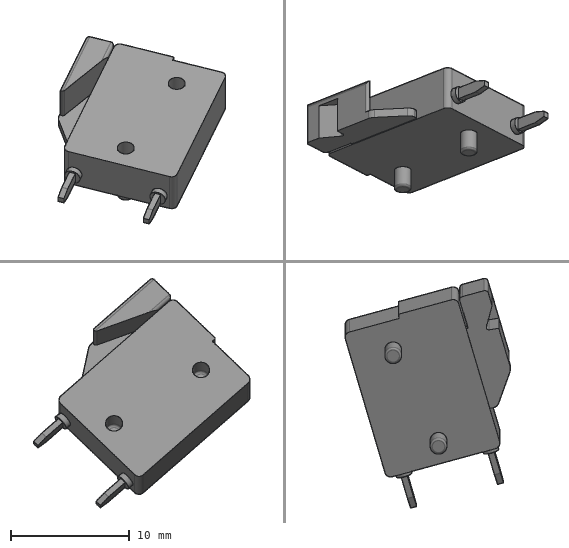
import cadquery as cq
import math


HOUSING_WIDTH = 10.05
HOUSING_LENGTH = 13.6
HOUSING_HEIGHT = 3.8
HOUSING_CORNER_RADIUS = 0.5
REAR_STEP_X = 5.18
REAR_STEP_DEPTH = 0.37
REAR_STEP_RADIUS = 0.1

PEG_CENTRES = [(4.93, 2.0), (6.43, 10.7)]
PEG_DIAMETER = 1.42
PEG_LENGTH = 1.81
PEG_TIP_RADIUS = 0.18
HOLE_DIAMETER = 1.42
HOLE_DEPTH = 2.0
HOLE_FLOOR_RADIUS = 0.22

PIN_PITCH = 7.62
FIRST_PIN_X = 1.03
PIN_X_POSITIONS = [FIRST_PIN_X, FIRST_PIN_X + PIN_PITCH]
PIN_Z = 1.4
PIN_REACH = 3.4
PIN_THICKNESS = 0.53
PIN_HEIGHT = 1.02
PIN_TAPER_LENGTH = 0.97
PIN_TIP_HEIGHT = 0.5
COLLAR_DIAMETER = 1.36
COLLAR_LENGTH = 0.5

LEVER_LEFT = -2.65
LEVER_BOTTOM = 0.07
PLATE_TOP = 0.8
PLATE_JOINT_REAR_Y = 10.8
PLATE_FRONT_Y = 3.48
PLATE_SLOPE_START_Y = 6.32
PLATE_SLOPE_ANGLE = 35.0
PLATE_SHOULDER_RADIUS = 0.92
PLATE_NOSE_RADIUS = 0.7
PLATE_OVERLAP = 0.43

BLOCK_RIGHT = -0.15
BLOCK_TOP = 3.75
BLOCK_EDGE_RADIUS = 0.3
BLOCK_FACE_ANGLE = 22.2
BLOCK_FACE_REAR_Y = 11.94
BLOCK_TIP_Y = 6.7
BLOCK_TIP_RADIUS = 0.21

NOTCH_REAR_Y = 12.15
NOTCH_FRONT_Y = 10.08
NOTCH_RAMP_ANGLE = 30.0
NOTCH_WALL_DRAFT = 0.13
NOTCH_TOP = 3.12
NOTCH_TOP_DRAFT = 0.05
NOTCH_ROOT_RADIUS = 0.2


def tan_deg(angle):
    return math.tan(math.radians(angle))


def box(x_min, x_max, y_min, y_max, z_min, z_max):
    size = (x_max - x_min, y_max - y_min, z_max - z_min)
    return cq.Workplane("XY").box(*size, centered=False).translate((x_min, y_min, z_min))


def upright_edge(x, y, z):
    """Selector for the vertical edge whose middle lies nearest to the given point."""
    return cq.selectors.NearestToPointSelector((x, y, z))


def make_housing():
    step_y = HOUSING_LENGTH - REAR_STEP_DEPTH
    mid_z = HOUSING_HEIGHT / 2
    housing = box(0, HOUSING_WIDTH, 0, HOUSING_LENGTH, 0, HOUSING_HEIGHT)
    housing = housing.cut(
        box(REAR_STEP_X, HOUSING_WIDTH, step_y, HOUSING_LENGTH, 0, HOUSING_HEIGHT)
    )
    corners = [(0, 0), (HOUSING_WIDTH, 0), (HOUSING_WIDTH, step_y), (0, HOUSING_LENGTH)]
    for x, y in corners:
        housing = housing.edges("|Z").edges(upright_edge(x, y, mid_z)).fillet(HOUSING_CORNER_RADIUS)
    step_corner = upright_edge(REAR_STEP_X, HOUSING_LENGTH, mid_z)
    return housing.edges("|Z").edges(step_corner).fillet(REAR_STEP_RADIUS)


def make_pegs():
    pegs = cq.Workplane("XY").pushPoints(PEG_CENTRES).circle(PEG_DIAMETER / 2).extrude(-PEG_LENGTH)
    return pegs.faces("<Z").edges().fillet(PEG_TIP_RADIUS)


def make_holes():
    holes = cq.Workplane("XY", origin=(0, 0, HOUSING_HEIGHT)).pushPoints(PEG_CENTRES)
    holes = holes.circle(HOLE_DIAMETER / 2).extrude(-HOLE_DEPTH)
    return holes.faces("<Z").edges().fillet(HOLE_FLOOR_RADIUS)


def make_pin(x):
    collar = cq.Workplane("XZ", origin=(x, 0, PIN_Z)).circle(COLLAR_DIAMETER / 2).extrude(COLLAR_LENGTH)
    taper_y = PIN_TAPER_LENGTH - PIN_REACH
    blade = (
        cq.Workplane("YZ", origin=(x, 0, PIN_Z))
        .moveTo(0, -PIN_HEIGHT / 2)
        .lineTo(taper_y, -PIN_HEIGHT / 2)
        .lineTo(-PIN_REACH, -PIN_TIP_HEIGHT / 2)
        .lineTo(-PIN_REACH, PIN_TIP_HEIGHT / 2)
        .lineTo(taper_y, PIN_HEIGHT / 2)
        .lineTo(0, PIN_HEIGHT / 2)
        .close()
        .extrude(PIN_THICKNESS / 2, both=True)
    )
    return collar.union(blade)


def make_lever_plate():
    nose_x = LEVER_LEFT + (PLATE_SLOPE_START_Y - PLATE_FRONT_Y) * tan_deg(PLATE_SLOPE_ANGLE)
    mid_z = (LEVER_BOTTOM + PLATE_TOP) / 2
    plate = (
        cq.Workplane("XY", origin=(0, 0, LEVER_BOTTOM))
        .moveTo(LEVER_LEFT, HOUSING_LENGTH)
        .lineTo(LEVER_LEFT, PLATE_SLOPE_START_Y)
        .lineTo(nose_x, PLATE_FRONT_Y)
        .lineTo(PLATE_OVERLAP, PLATE_FRONT_Y)
        .lineTo(PLATE_OVERLAP, PLATE_JOINT_REAR_Y)
        .lineTo(BLOCK_RIGHT, PLATE_JOINT_REAR_Y)
        .lineTo(BLOCK_RIGHT, HOUSING_LENGTH)
        .close()
        .extrude(PLATE_TOP - LEVER_BOTTOM)
    )
    rounded_corners = [
        (LEVER_LEFT, PLATE_SLOPE_START_Y, PLATE_SHOULDER_RADIUS),
        (nose_x, PLATE_FRONT_Y, PLATE_NOSE_RADIUS),
        (PLATE_OVERLAP, PLATE_FRONT_Y, PLATE_NOSE_RADIUS),
        (LEVER_LEFT, HOUSING_LENGTH, BLOCK_EDGE_RADIUS),
        (BLOCK_RIGHT, HOUSING_LENGTH, BLOCK_EDGE_RADIUS),
    ]
    for x, y, radius in rounded_corners:
        plate = plate.edges("|Z").edges(upright_edge(x, y, mid_z)).fillet(radius)
    return plate


def make_lever_block():
    """Plan outline and end profile, both with rounded corners, intersected."""
    height = BLOCK_TOP - LEVER_BOTTOM
    mid_z = LEVER_BOTTOM + height / 2
    tip_x = BLOCK_RIGHT - (BLOCK_FACE_REAR_Y - BLOCK_TIP_Y) * tan_deg(BLOCK_FACE_ANGLE)
    plan = (
        cq.Workplane("XY", origin=(0, 0, LEVER_BOTTOM))
        .moveTo(LEVER_LEFT, HOUSING_LENGTH)
        .lineTo(LEVER_LEFT, BLOCK_TIP_Y)
        .lineTo(tip_x, BLOCK_TIP_Y)
        .lineTo(BLOCK_RIGHT, BLOCK_FACE_REAR_Y)
        .lineTo(BLOCK_RIGHT, HOUSING_LENGTH)
        .close()
        .extrude(height)
    )
    rounded_corners = [
        (LEVER_LEFT, BLOCK_TIP_Y, BLOCK_TIP_RADIUS),
        (tip_x, BLOCK_TIP_Y, BLOCK_TIP_RADIUS),
        (LEVER_LEFT, HOUSING_LENGTH, BLOCK_EDGE_RADIUS),
        (BLOCK_RIGHT, HOUSING_LENGTH, BLOCK_EDGE_RADIUS),
    ]
    for x, y, radius in rounded_corners:
        plan = plan.edges("|Z").edges(upright_edge(x, y, mid_z)).fillet(radius)
    end_profile = box(LEVER_LEFT, BLOCK_RIGHT, 0, HOUSING_LENGTH, LEVER_BOTTOM, BLOCK_TOP)
    end_profile = end_profile.edges("|Y and >Z").fillet(BLOCK_EDGE_RADIUS)
    return plan.intersect(end_profile)


def make_notch():
    """Ramped recess, open at the bottom, with a drafted front wall and a drafted ceiling."""
    root_y = NOTCH_FRONT_Y + NOTCH_WALL_DRAFT
    root_x = LEVER_LEFT + (NOTCH_REAR_Y - root_y) * tan_deg(NOTCH_RAMP_ANGLE)
    mid_z = NOTCH_TOP / 2
    ramp = (
        cq.Workplane("XY")
        .moveTo(LEVER_LEFT, NOTCH_REAR_Y)
        .lineTo(root_x, root_y)
        .lineTo(LEVER_LEFT, NOTCH_FRONT_Y)
        .close()
        .extrude(NOTCH_TOP)
        .edges("|Z")
        .edges(upright_edge(root_x, root_y, mid_z))
        .fillet(NOTCH_ROOT_RADIUS)
    )
    ceiling = (
        cq.Workplane("XZ")
        .moveTo(LEVER_LEFT, 0)
        .lineTo(LEVER_LEFT, NOTCH_TOP)
        .lineTo(root_x, NOTCH_TOP - NOTCH_TOP_DRAFT)
        .lineTo(root_x, 0)
        .close()
        .extrude(-HOUSING_LENGTH)
    )
    return ramp.intersect(ceiling)


result = make_housing().union(make_pegs())
for pin_x in PIN_X_POSITIONS:
    result = result.union(make_pin(pin_x))
lever = make_lever_block().union(make_lever_plate()).cut(make_notch())
result = result.union(lever).cut(make_holes())